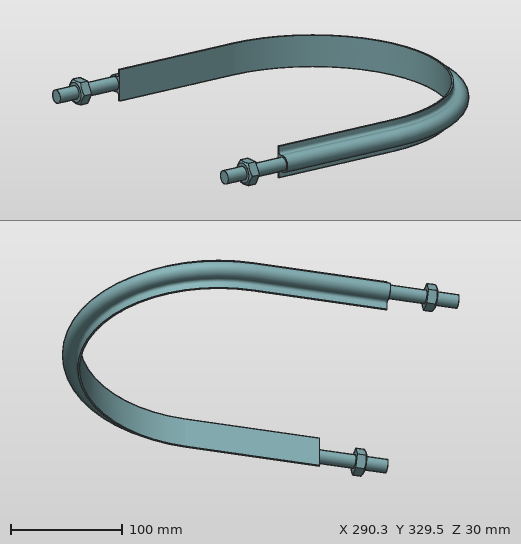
import cadquery as cq
import math

rod_diameter = 12.5
leg_x = 132.8
total_length = 329.5

rib_radius = 8.0
strip_height = 30.0
strip_inner_offset = 7.5
strip_thickness = 1.5
rib_fillet = 2.5
liner_end_y = 64.0

bend_y = total_length - leg_x - rib_radius

nut_across_corners = 24.7
nut_thickness = 9.5
nut_outer_y = 20.5
nut_face_diameter = 18.5
nut_chamfer_angle = 30.0


def u_path(end_y):
    """Centre line of the U, starting on the left leg at end_y."""
    return (
        cq.Workplane("XY")
        .moveTo(-leg_x, end_y)
        .lineTo(-leg_x, bend_y)
        .threePointArc((0, bend_y + leg_x), (leg_x, bend_y))
        .lineTo(leg_x, end_y)
    )


def section_plane(end_y):
    """Plane across the left leg, with its origin on the rod axis and local x along +X."""
    return cq.Workplane("XZ", origin=(-leg_x, end_y, 0))


def make_rod():
    return section_plane(0).circle(rod_diameter / 2).sweep(u_path(0))


def make_liner():
    strip_inner = strip_inner_offset
    strip_outer = strip_inner - strip_thickness
    half_height = strip_height / 2

    fillet_x = strip_outer - rib_fillet
    fillet_z = math.sqrt((rib_radius + rib_fillet) ** 2 - fillet_x ** 2)
    rib_share = rib_radius / (rib_radius + rib_fillet)
    rib_x = fillet_x * rib_share
    rib_z = fillet_z * rib_share

    to_rib_angle = math.atan2(fillet_z, fillet_x) - math.pi
    middle_angle = to_rib_angle / 2
    middle_x = fillet_x + rib_fillet * math.cos(middle_angle)
    middle_z = fillet_z + rib_fillet * math.sin(middle_angle)

    profile = (
        section_plane(liner_end_y)
        .moveTo(strip_inner, -half_height)
        .lineTo(strip_inner, half_height)
        .lineTo(strip_outer, half_height)
        .lineTo(strip_outer, fillet_z)
        .threePointArc((middle_x, middle_z), (rib_x, rib_z))
        .threePointArc((-rib_radius, 0), (rib_x, -rib_z))
        .threePointArc((middle_x, -middle_z), (strip_outer, -fillet_z))
        .lineTo(strip_outer, -half_height)
        .close()
    )
    rod_channel = section_plane(liner_end_y).circle(rod_diameter / 2).sweep(u_path(liner_end_y))
    return profile.sweep(u_path(liner_end_y)).cut(rod_channel)


def make_nut(x):
    nut_inner_y = nut_outer_y + nut_thickness
    hexagon = (
        cq.Workplane("XZ", origin=(x, nut_inner_y, 0))
        .polygon(6, nut_across_corners)
        .circle(rod_diameter / 2)
        .extrude(nut_thickness)
    )

    corner_radius = nut_across_corners / 2
    face_radius = nut_face_diameter / 2
    chamfer_depth = (corner_radius - face_radius) * math.tan(math.radians(nut_chamfer_angle))
    envelope = (
        cq.Workplane("XY", origin=(x, nut_outer_y, 0))
        .polyline([
            (0, 0),
            (face_radius, 0),
            (corner_radius, chamfer_depth),
            (corner_radius, nut_thickness),
            (0, nut_thickness),
        ])
        .close()
        .revolve(360, (0, 0, 0), (0, 1, 0))
    )
    return hexagon.intersect(envelope)


rod = make_rod()
liner = make_liner()
nuts = [make_nut(side * leg_x) for side in (-1, 1)]

result = cq.Compound.makeCompound([rod.val(), liner.val(), *[nut.val() for nut in nuts]])